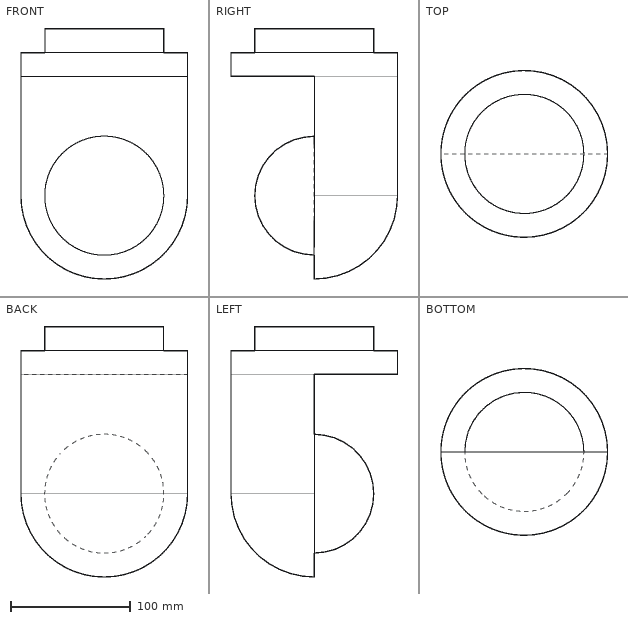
import cadquery as cq

total_height = 210.0
body_radius = total_height / 3
ball_radius = 50.0
boss_radius = ball_radius
flange_thickness = 20.0
boss_height = 20.0

boss_top = total_height - body_radius
flange_top = boss_top - boss_height
flange_bottom = flange_top - flange_thickness


def disc(radius, bottom, top):
    """Vertical cylinder on the Z axis between two heights."""
    return cq.Workplane("XY").workplane(offset=bottom).circle(radius).extrude(top - bottom)


def half_body():
    """Round-ended column, kept only on the +Y side of its flat face, up to the flange."""
    profile = (
        cq.Workplane("XY")
        .moveTo(0, -body_radius)
        .radiusArc((body_radius, 0), -body_radius)
        .lineTo(body_radius, flange_bottom)
        .lineTo(0, flange_bottom)
        .close()
    )
    half_turn = profile.revolve(180, (0, 0, 0), (0, 1, 0))
    return half_turn.rotate((0, 0, 0), (1, 0, 0), 90)


body = half_body()
flange = disc(body_radius, flange_bottom, flange_top)
boss = disc(boss_radius, flange_top, boss_top)
ball = cq.Workplane("XZ").sphere(ball_radius)

result = body.union(flange).union(boss).union(ball)